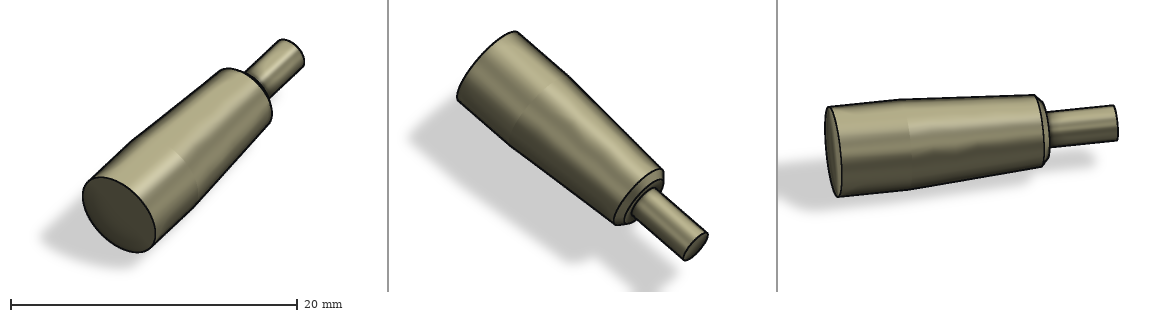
import cadquery as cq

barrel_diameter = 6.35
barrel_length = 5.0
body_length = 15.0
shoulder_diameter = 5.0
shoulder_chamfer = 0.5
pin_diameter = 2.5
pin_length = 5.0

overall_length = body_length + pin_length


def make_body():
    """Barrel and taper, starting at Y = 0, with the narrow end chamfered."""
    half_section = (
        cq.Workplane("XY")
        .lineTo(-barrel_diameter / 2, 0)
        .lineTo(-barrel_diameter / 2, barrel_length)
        .lineTo(-shoulder_diameter / 2, body_length)
        .lineTo(0, body_length)
        .close()
    )
    body = half_section.revolve(360, (0, 0, 0), (0, 1, 0))
    return body.faces(">Y").edges().chamfer(shoulder_chamfer)


def make_pin():
    """Straight pin running on from the narrow end of the body."""
    half_section = (
        cq.Workplane("XY")
        .moveTo(0, body_length)
        .lineTo(-pin_diameter / 2, body_length)
        .lineTo(-pin_diameter / 2, overall_length)
        .lineTo(0, overall_length)
        .close()
    )
    return half_section.revolve(360, (0, 0, 0), (0, 1, 0))


result = make_body().union(make_pin())